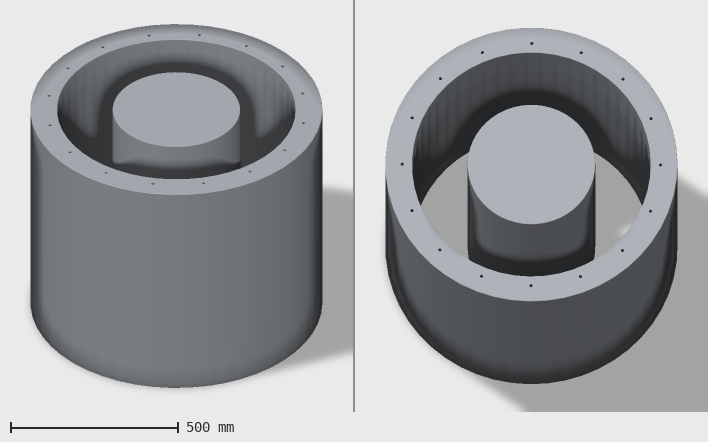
import cadquery as cq

height = 710.0
ring_outer_diameter = 870.0
ring_inner_diameter = 710.0
core_diameter = 380.0
edge_radius = 2.0

hole_diameter = 10.0
hole_circle_diameter = 769.0
hole_count = 16
hole_pitch_angle = 360 / hole_count
first_hole_angle = hole_pitch_angle / 2


def make_ring():
    """Thick-walled tube with rounded rims and axial bolt holes."""
    tube = (
        cq.Workplane("XY")
        .circle(ring_outer_diameter / 2)
        .circle(ring_inner_diameter / 2)
        .extrude(height)
        .faces("<Z or >Z")
        .edges()
        .fillet(edge_radius)
    )
    bolt_holes = (
        cq.Workplane("XY")
        .polarArray(hole_circle_diameter / 2, first_hole_angle, 360, hole_count)
        .circle(hole_diameter / 2)
        .extrude(height)
    )
    return tube.cut(bolt_holes)


def make_core():
    """Solid cylinder standing free on the ring's axis, rounded at both ends."""
    return (
        cq.Workplane("XY")
        .circle(core_diameter / 2)
        .extrude(height)
        .faces("<Z or >Z")
        .edges()
        .fillet(edge_radius)
    )


ring = make_ring()
core = make_core()

result = cq.Compound.makeCompound([ring.val(), core.val()])